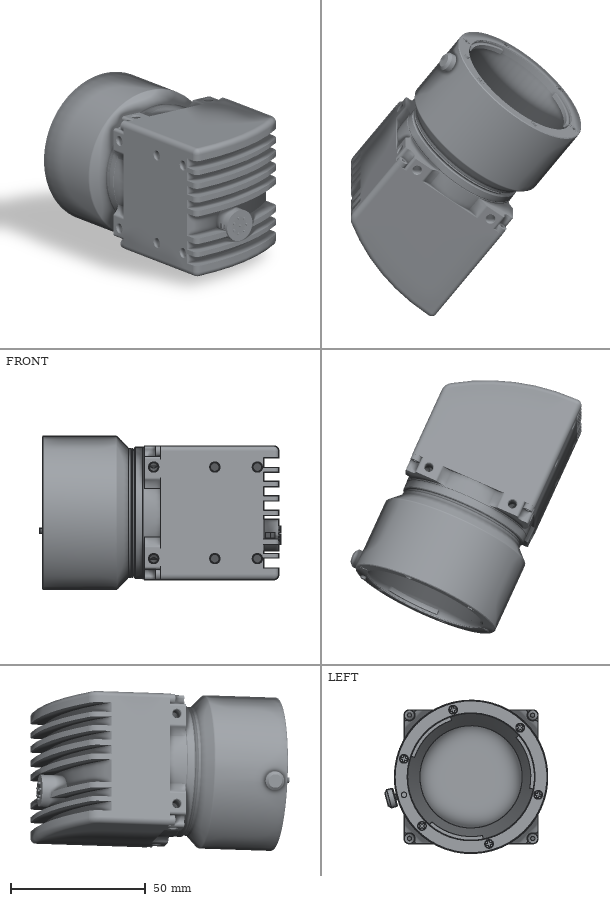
import cadquery as cq
import math


overlap = 1.0

side = 49.8
half = side / 2
length = 50.0
edge_radius = 2.0
back_radius = 81.0
back_center_y = -22.0
back_corner_radius = 4.5

flange_depth = 6.1
boss_radius = 24.5
boss_front_x = -0.4
side_relief_half = 13.0
side_relief_floor_half = 9.0
relief_edge_radius = 1.0
screw_offset = 22.9
corner_relief_radius = 2.1
screw_head_diameter = 3.8
screw_head_height = 2.0
screw_socket_flats = 1.5
screw_socket_depth = 1.0

hole_diameter = 3.24
hole_mouth_diameter = 3.8
flange_hole_depth = 7.5
drill_tip_angle = 118
hole_offset = 17.0
flange_hole_x = 3.5
side_hole_xs = (26.2, 42.0)
side_hole_depth = 6.0

slot_depth = 5.5
fin_pitch = 5.36
fin_thickness = 2.1
outer_fin_offset = 15.95
outer_fin_thickness = 1.8
slot_limit = 20.4

connector_y = -4.35
connector_z = -8.3
connector_diameter = 11.9
barrel_root = 5.0
connector_pin_diameter = 0.8
connector_pin_circle = 6.2
connector_ring_pins = 7
connector_pin_end_x = 50.7
latch_front_x = 45.1
latch_rear_x = 46.95
latch_width = 2.0
latch_depth = 0.5
latch_groove_diameter = 1.6

adapter_front_x = -37.82
adapter_radius = 28.5
front_chamfer = 0.3
shoulder_x = -10.3
shoulder_radius = 0.7
neck_x = -5.85
neck_radius = 23.95
groove_front_x = -5.0
groove_rear_x = -4.4
groove_depth = 0.3
ring_x = -3.6
ring_radius = 24.4
ring_chamfer = 0.3
ring_root_radius = 23.1
mouth_radius = 47.5 / 2
mouth_depth = 0.3
lip_radius = 23.55
lip_end_depth = 2.7
bore_radius = 47.5 / 2
bore_depth = 28.4
bore_end_radius = 38.0 / 2

lug_inner_radius = 22.2
lug_front_depth = 1.0
lug_angles = (45, 165, 285)
lug_span = 52.0

face_circle_radius = 25.8
first_screw_angle = 15
face_screws = 6
face_hole_diameter = 3.24
face_head_diameter = 3.0
face_gap_depth = 1.0
cross_length = 2.2
cross_width = 0.8
cross_depth = 0.8
pin_angle = -15
pin_diameter = 2.0
pin_height = 1.0

knob_angle = -15
knob_x = -32.5
knob_diameter = 7.0
knob_base_radius = 29.2
knob_top_radius = 32.5
knob_top_chamfer = 1.0
knob_base_chamfer = 0.3
knob_stem_diameter = 2.2
stem_root_radius = 27.0


def polar(center, radius, angle):
    """Point at an angle in degrees on a circle."""
    turn = math.radians(angle)
    return (center[0] + radius * math.cos(turn), center[1] + radius * math.sin(turn))


def four_turns(solid):
    """The solid and its three copies turned about the X axis."""
    return [solid.rotate((0, 0, 0), (1, 0, 0), 90 * turn) for turn in range(4)]


def housing_block():
    """Square block with a curved rear wall and rounded long and rear edges."""
    center = (length - back_radius, back_center_y)
    corner_y = half - back_corner_radius
    corner_reach = back_radius - back_corner_radius
    tangent_angle = math.degrees(math.asin((corner_y - center[1]) / corner_reach))
    corner_center = polar(center, corner_reach, tangent_angle)
    corner_middle = polar(corner_center, back_corner_radius, (tangent_angle + 90) / 2)
    wall_middle = polar(center, back_radius, tangent_angle / 2)
    wall_end = polar(center, back_radius, tangent_angle)
    block = (
        cq.Workplane("XY")
        .workplane(offset=-half)
        .moveTo(0, -half)
        .lineTo(length, -half)
        .lineTo(length, back_center_y)
        .threePointArc(wall_middle, wall_end)
        .threePointArc(corner_middle, (corner_center[0], half))
        .lineTo(0, half)
        .close()
        .extrude(side)
    )
    rear_corner = cq.selectors.NearestToPointSelector((length, -half, 0))
    block = block.edges(rear_corner).fillet(edge_radius)
    return block.faces("<Z or >Z").edges("not <X").fillet(edge_radius)


def fin_slots():
    """Everything between the fins, down to a floor that follows the rear wall."""
    floor = (
        cq.Workplane("XY")
        .workplane(offset=-half)
        .center(length - back_radius, back_center_y)
        .circle(back_radius - slot_depth)
        .extrude(side)
    )
    slots = cq.Workplane("XY").box(length, 2 * side, 2 * slot_limit).translate((length, 0, 0)).cut(floor)
    fins = [(step * fin_pitch, fin_thickness) for step in (-2, 0, 1, 2)]
    fins += [(-outer_fin_offset, outer_fin_thickness), (outer_fin_offset, outer_fin_thickness)]
    for fin_z, thickness in fins:
        fin = cq.Workplane("XY").box(length, 2 * side, thickness).translate((length, 0, fin_z))
        slots = slots.cut(fin)
    return slots


def side_relief():
    """Cutter for the relief in the middle of the +Z side of the flange."""
    edge_v = half - relief_edge_radius
    floor_v = math.sqrt(boss_radius**2 - side_relief_floor_half**2)
    run = side_relief_half - side_relief_floor_half
    rise = edge_v - floor_v
    hollow_radius = (run**2 + rise**2 - relief_edge_radius**2) / (2 * (rise + relief_edge_radius))
    hollow = (side_relief_floor_half, floor_v + hollow_radius)
    edge = (side_relief_half, edge_v)
    touch_angle = math.degrees(math.atan2(edge[1] - hollow[1], edge[0] - hollow[0]))
    edge_middle = polar(edge, relief_edge_radius, (90 + touch_angle + 180) / 2)
    touch = polar(hollow, hollow_radius, touch_angle)
    hollow_middle = polar(hollow, hollow_radius, (touch_angle - 90) / 2)
    above = half + overlap

    def mirrored(point):
        return (-point[0], point[1])

    return (
        cq.Workplane("YZ")
        .moveTo(-side_relief_half, above)
        .lineTo(side_relief_half, above)
        .lineTo(side_relief_half, half)
        .threePointArc(edge_middle, touch)
        .threePointArc(hollow_middle, (side_relief_floor_half, floor_v))
        .lineTo(-side_relief_floor_half, floor_v)
        .threePointArc(mirrored(hollow_middle), mirrored(touch))
        .threePointArc(mirrored(edge_middle), (-side_relief_half, half))
        .close()
        .extrude(flange_depth)
    )


def corner_relief():
    """Cutter around the screw head in the +Y +Z corner of the flange."""
    center = (screw_offset, screw_offset)
    edge_v = half - relief_edge_radius
    reach = corner_relief_radius + relief_edge_radius
    edge = (screw_offset - math.sqrt(reach**2 - (edge_v - screw_offset) ** 2), edge_v)
    touch_angle = math.degrees(math.atan2(edge[1] - center[1], edge[0] - center[0]))
    edge_middle = polar(edge, relief_edge_radius, (90 + touch_angle - 180) / 2)
    touch = polar(center, corner_relief_radius, touch_angle)
    outside = half + overlap

    def swapped(point):
        return (point[1], point[0])

    return (
        cq.Workplane("YZ")
        .moveTo(outside, outside)
        .lineTo(edge[0], outside)
        .lineTo(edge[0], half)
        .threePointArc(edge_middle, touch)
        .threePointArc(polar(center, corner_relief_radius, 225), swapped(touch))
        .threePointArc(swapped(edge_middle), (half, edge[0]))
        .lineTo(outside, edge[0])
        .close()
        .extrude(flange_depth)
    )


def corner_screw():
    """Socket-head screw head in the +Y +Z corner."""
    socket_corners = screw_socket_flats / math.cos(math.radians(30))
    return (
        cq.Workplane("YZ")
        .workplane(offset=flange_depth - screw_head_height)
        .center(screw_offset, screw_offset)
        .circle(screw_head_diameter / 2)
        .extrude(screw_head_height + overlap)
        .faces("<X")
        .workplane()
        .polygon(6, socket_corners)
        .cutBlind(-screw_socket_depth)
    )


def threaded_hole(x, y, depth, tip_height=0):
    """Cutter for a chamfered hole going down from the +Z side, with an optional conical tip."""
    chamfer = (hole_mouth_diameter - hole_diameter) / 2
    return (
        cq.Workplane("XZ")
        .moveTo(0, half)
        .lineTo(hole_mouth_diameter / 2, half)
        .lineTo(hole_diameter / 2, half - chamfer)
        .lineTo(hole_diameter / 2, half - depth)
        .lineTo(0, half - depth - tip_height)
        .close()
        .revolve(360, (0, 0, 0), (0, 1, 0))
        .translate((x, y, 0))
    )


def connector():
    """Round rear connector with its latch recess and contact pins."""
    start_x = length - slot_depth - barrel_root
    barrel_radius = connector_diameter / 2
    barrel_y = connector_y - barrel_radius
    barrel = (
        cq.Workplane("YZ")
        .workplane(offset=start_x)
        .center(connector_y, connector_z)
        .circle(barrel_radius)
        .extrude(length - start_x)
    )
    latch_length = latch_rear_x - latch_front_x
    latch = (
        cq.Workplane("XY")
        .box(latch_length, 2 * latch_depth, latch_width)
        .translate((latch_front_x + latch_length / 2, barrel_y, connector_z))
    )
    groove = (
        cq.Workplane("XY")
        .circle(latch_groove_diameter / 2)
        .extrude(latch_width / 2, both=True)
        .translate((latch_rear_x + latch_groove_diameter / 2, barrel_y, connector_z))
    )
    pins = (
        cq.Workplane("YZ")
        .workplane(offset=length - overlap)
        .center(connector_y, connector_z)
        .polarArray(connector_pin_circle / 2, 0, 360, connector_ring_pins)
        .circle(connector_pin_diameter / 2)
        .extrude(connector_pin_end_x - length + overlap)
    )
    center_pin = (
        cq.Workplane("YZ")
        .workplane(offset=length - overlap)
        .center(connector_y, connector_z)
        .circle(connector_pin_diameter / 2)
        .extrude(connector_pin_end_x - length + overlap)
    )
    return barrel.cut(latch).cut(groove).union(pins).union(center_pin)


def make_camera():
    camera = housing_block()
    for relief in (side_relief(), corner_relief()):
        for cutter in four_turns(relief):
            camera = camera.cut(cutter)
    boss = cq.Workplane("YZ").workplane(offset=boss_front_x).circle(boss_radius)
    camera = camera.union(boss.extrude(flange_depth + overlap - boss_front_x))
    for screw in four_turns(corner_screw()):
        camera = camera.union(screw)

    tip_height = hole_diameter / 2 / math.tan(math.radians(drill_tip_angle / 2))
    for y in (-hole_offset, hole_offset):
        for hole in four_turns(threaded_hole(flange_hole_x, y, flange_hole_depth, tip_height)):
            camera = camera.cut(hole)
        for x in side_hole_xs:
            hole = threaded_hole(x, y, side_hole_depth).rotate((0, 0, 0), (1, 0, 0), 90)
            camera = camera.cut(hole)
    return camera.cut(fin_slots()).union(connector())


def adapter_body():
    """Turned body: cylinder, rear cone, grooved neck and locking ring, with a stepped bore."""
    bore_cone_x = adapter_front_x + bore_depth
    bore_floor_x = bore_cone_x + bore_radius - bore_end_radius
    groove_middle_x = (groove_front_x + groove_rear_x) / 2
    profile = [
        (adapter_front_x, mouth_radius),
        (adapter_front_x, adapter_radius - front_chamfer),
        (adapter_front_x + front_chamfer, adapter_radius),
        (shoulder_x, adapter_radius),
        (neck_x, neck_radius),
        (groove_front_x, neck_radius),
        (groove_middle_x, neck_radius - groove_depth),
        (groove_rear_x, neck_radius),
        (ring_x, ring_root_radius),
        (ring_x, ring_radius - ring_chamfer),
        (ring_x + ring_chamfer, ring_radius),
        (boss_front_x - ring_chamfer, ring_radius),
        (boss_front_x, ring_radius - ring_chamfer),
        (boss_front_x, 0),
        (bore_floor_x, 0),
        (bore_floor_x, bore_end_radius),
        (bore_cone_x, bore_radius),
        (adapter_front_x + lip_end_depth, bore_radius),
        (adapter_front_x + lip_end_depth, lip_radius),
        (adapter_front_x + mouth_depth, lip_radius),
        (adapter_front_x + mouth_depth, mouth_radius),
    ]
    body = cq.Workplane("XY").polyline(profile).close().revolve(360, (0, 0, 0), (1, 0, 0))
    shoulder = cq.selectors.NearestToPointSelector((shoulder_x, 0, adapter_radius))
    return body.edges("%CIRCLE").edges(shoulder).fillet(shoulder_radius)


def bayonet_lug(angle):
    """Inward lug behind the mouth of the adapter."""
    outer_radius = mouth_radius + overlap
    origin = (0, 0)
    start = angle - lug_span / 2
    end = angle + lug_span / 2
    return (
        cq.Workplane("YZ")
        .workplane(offset=adapter_front_x + lug_front_depth)
        .moveTo(*polar(origin, lug_inner_radius, start))
        .lineTo(*polar(origin, outer_radius, start))
        .threePointArc(polar(origin, outer_radius, angle), polar(origin, outer_radius, end))
        .lineTo(*polar(origin, lug_inner_radius, end))
        .threePointArc(polar(origin, lug_inner_radius, angle), polar(origin, lug_inner_radius, start))
        .close()
        .extrude(lip_end_depth - lug_front_depth)
    )


def face_screw_cutter(angle):
    """Gap around a flush screw head, and the cross recess in the head."""
    plane = cq.Workplane("YZ").workplane(offset=adapter_front_x)
    gap = plane.circle(face_hole_diameter / 2).circle(face_head_diameter / 2).extrude(face_gap_depth)
    cross = plane.rect(cross_length, cross_width).extrude(cross_depth)
    cross = cross.union(plane.rect(cross_width, cross_length).extrude(cross_depth))
    cutter = gap.union(cross).translate((0, face_circle_radius, 0))
    return cutter.rotate((0, 0, 0), (1, 0, 0), angle)


def locating_pin():
    center = polar((0, 0), face_circle_radius, pin_angle)
    return (
        cq.Workplane("YZ")
        .workplane(offset=adapter_front_x - pin_height)
        .center(*center)
        .circle(pin_diameter / 2)
        .extrude(2 * pin_height)
    )


def locking_knob():
    """Knob on a stem that points away from the axis."""
    head = (
        cq.Workplane("XZ")
        .workplane(offset=-knob_top_radius)
        .center(knob_x, 0)
        .circle(knob_diameter / 2)
        .extrude(knob_top_radius - knob_base_radius)
    )
    head = head.faces(">Y").chamfer(knob_top_chamfer).faces("<Y").chamfer(knob_base_chamfer)
    stem = (
        cq.Workplane("XZ")
        .workplane(offset=-knob_base_radius - overlap)
        .center(knob_x, 0)
        .circle(knob_stem_diameter / 2)
        .extrude(knob_base_radius + overlap - stem_root_radius)
    )
    return head.union(stem).rotate((0, 0, 0), (1, 0, 0), knob_angle)


def make_adapter():
    adapter = adapter_body()
    for angle in lug_angles:
        adapter = adapter.union(bayonet_lug(angle))
    for index in range(face_screws):
        adapter = adapter.cut(face_screw_cutter(first_screw_angle + index * 360 / face_screws))
    return adapter.union(locating_pin()).union(locking_knob())


camera = make_camera()
adapter = make_adapter()
result = cq.Compound.makeCompound([camera.val(), adapter.val()])